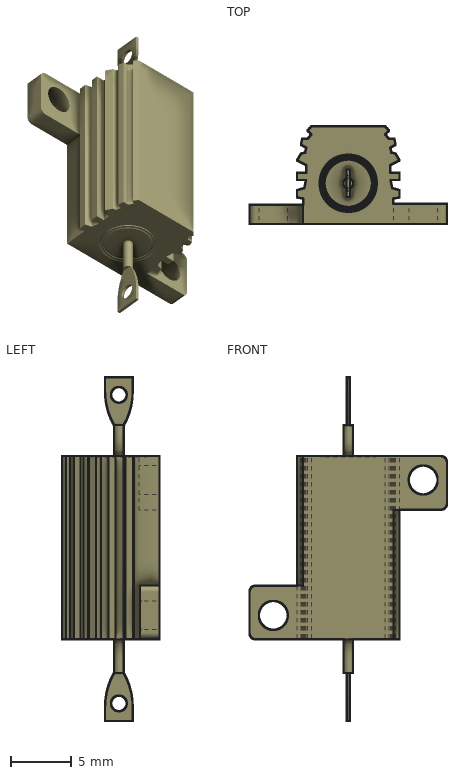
import cadquery as cq
import math

BODY_LENGTH = 15.24
BODY_DEPTH = 8.13
BASE_HALF_WIDTH = 3.75
FIN_HALF_WIDTH = 4.27

TOTAL_WIDTH = 16.41
TAB_HEIGHT = 4.48
LEFT_TAB_THICKNESS = 1.62
RIGHT_TAB_THICKNESS = 1.70
TAB_CORNER_RADIUS = 0.53
TAB_HOLE_RADIUS = 1.19
TAB_HOLE_X = 6.22
TAB_HOLE_END_OFFSET = 2.0

CORE_HEIGHT = 3.39

SLEEVE_GROOVES = ((2.28, 2.38), (2.10, 1.96))
SLEEVE_GROOVE_DEPTH = 0.1

TOTAL_LENGTH = 28.58
TOP_LEAD_LENGTH = 6.55
BOTTOM_LEAD_LENGTH = TOTAL_LENGTH - BODY_LENGTH - TOP_LEAD_LENGTH
WIRE_RADIUS = 0.415
LUG_LENGTH = 4.0
LUG_HALF_WIDTH = 1.16
LUG_THICKNESS = 0.26
LUG_STRAIGHT_LENGTH = 1.2
LUG_HOLE_RADIUS = 0.64
LUG_HOLE_TIP_OFFSET = 1.48

BODY_BOTTOM = -BODY_LENGTH / 2
BODY_TOP = BODY_LENGTH / 2
BASE_Y = -CORE_HEIGHT

FIN_OUTLINE = [
    (BASE_HALF_WIDTH, 0),
    (BASE_HALF_WIDTH, 2.12),
    (FIN_HALF_WIDTH, 2.20),
    (FIN_HALF_WIDTH, 2.82),
    (3.66, 3.00),
    (3.52, 3.66),
    (FIN_HALF_WIDTH, 3.66),
    (FIN_HALF_WIDTH, 4.27),
    (3.50, 4.27),
    (3.50, 4.88),
    (FIN_HALF_WIDTH, 5.29),
    (3.92, 5.87),
    (3.59, 5.94),
    (3.50, 6.34),
    (3.94, 6.58),
    (3.83, 7.10),
    (3.38, 7.10),
    (3.06, 7.44),
    (3.40, 7.76),
    (3.06, BODY_DEPTH),
]


def make_body():
    right_side = [(x, BASE_Y + height) for x, height in FIN_OUTLINE]
    left_side = [(-x, y) for x, y in reversed(right_side)]
    return (
        cq.Workplane("XY", origin=(0, 0, BODY_BOTTOM))
        .polyline(right_side + left_side)
        .close()
        .extrude(BODY_LENGTH)
    )


def make_tab(side, thickness):
    """Tab on the +X side at the top end (side = 1) or the -X side at the bottom end (side = -1)."""
    tab_width = TOTAL_WIDTH / 2
    tab_z = side * (BODY_TOP - TAB_HEIGHT / 2)
    hole_z = side * (BODY_TOP - TAB_HOLE_END_OFFSET)
    tab = (
        cq.Workplane("XY")
        .box(tab_width, thickness, TAB_HEIGHT)
        .translate((side * tab_width / 2, BASE_Y + thickness / 2, tab_z))
    )
    outer_face = ">X" if side > 0 else "<X"
    tab = tab.faces(outer_face).edges("|Y").fillet(TAB_CORNER_RADIUS)
    hole = (
        cq.Workplane("XZ", origin=(side * TAB_HOLE_X, BASE_Y, hole_z))
        .circle(TAB_HOLE_RADIUS)
        .extrude(-thickness)
    )
    return tab.cut(hole)


def make_sleeve_groove(wall_radius, chamfer_radius, end):
    """Cutter for one V-groove in the top (end = 1) or bottom (end = -1) face of the body."""
    face_z = end * BODY_TOP
    floor_z = face_z - end * SLEEVE_GROOVE_DEPTH
    return (
        cq.Workplane("XZ")
        .polyline([(wall_radius, face_z), (chamfer_radius, face_z), (wall_radius, floor_z)])
        .close()
        .revolve(360, (0, 0), (0, 1))
    )


def make_lead(length):
    """Lead pointing up +Z with its root at Z = 0."""
    wire_length = length - LUG_LENGTH
    wire = cq.Workplane("XY").circle(WIRE_RADIUS).extrude(wire_length)

    taper_length = LUG_LENGTH - LUG_STRAIGHT_LENGTH
    taper_inset = LUG_HALF_WIDTH - WIRE_RADIUS
    shoulder_z = length - LUG_STRAIGHT_LENGTH
    arc_radius = (taper_length**2 + taper_inset**2) / (2 * taper_inset)
    half_angle = math.asin(taper_length / arc_radius) / 2
    mid_y = LUG_HALF_WIDTH - arc_radius * (1 - math.cos(half_angle))
    mid_z = shoulder_z - arc_radius * math.sin(half_angle)
    lug = (
        cq.Workplane("YZ")
        .moveTo(-WIRE_RADIUS, wire_length)
        .lineTo(WIRE_RADIUS, wire_length)
        .threePointArc((mid_y, mid_z), (LUG_HALF_WIDTH, shoulder_z))
        .lineTo(LUG_HALF_WIDTH, length)
        .lineTo(-LUG_HALF_WIDTH, length)
        .lineTo(-LUG_HALF_WIDTH, shoulder_z)
        .threePointArc((-mid_y, mid_z), (-WIRE_RADIUS, wire_length))
        .close()
        .extrude(LUG_THICKNESS / 2, both=True)
    )
    hole = (
        cq.Workplane("YZ", origin=(0, 0, length - LUG_HOLE_TIP_OFFSET))
        .circle(LUG_HOLE_RADIUS)
        .extrude(LUG_THICKNESS, both=True)
    )
    return wire.union(lug.cut(hole))


result = make_body()
result = result.union(make_tab(1, RIGHT_TAB_THICKNESS))
result = result.union(make_tab(-1, LEFT_TAB_THICKNESS))

for groove_wall, groove_chamfer in SLEEVE_GROOVES:
    for body_end in (1, -1):
        result = result.cut(make_sleeve_groove(groove_wall, groove_chamfer, body_end))

top_lead = make_lead(TOP_LEAD_LENGTH).translate((0, 0, BODY_TOP))
bottom_lead = make_lead(BOTTOM_LEAD_LENGTH).mirror("XY").translate((0, 0, BODY_BOTTOM))
result = result.union(top_lead).union(bottom_lead)